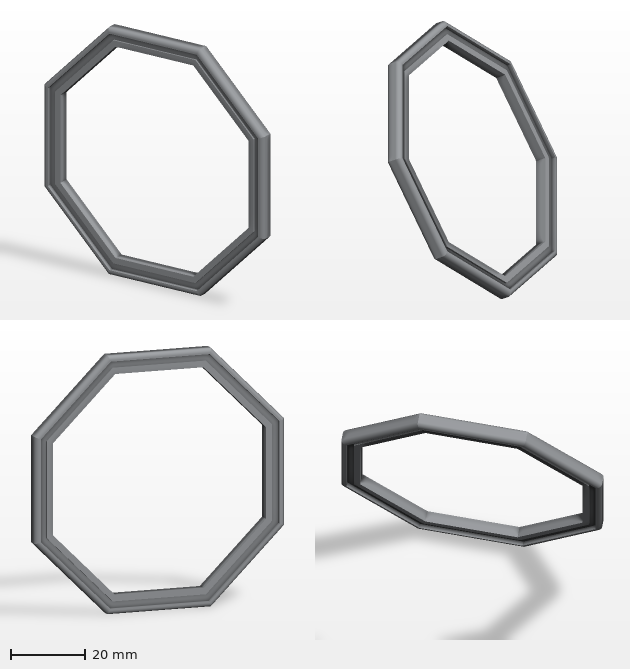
import cadquery as cq
import math

width = 71.6
thickness = 4.4
ring_wall = 5.2
edge_radius = 1.2
groove_offset = 1.6
groove_width = 1.9
groove_depth = 1.2
land_depth = 0.65
sides = 8


def octagon_prism(across_flats, y_start, length):
    """Octagonal prism with flats facing X and Z, running toward +Y from y_start."""
    corner_diameter = across_flats / math.cos(math.pi / sides)
    return (
        cq.Workplane("XZ", origin=(0, y_start, 0))
        .transformed(rotate=(0, 0, 180 / sides))
        .polygon(sides, corner_diameter)
        .extrude(-length)
    )


def octagon_ring(outer_offset, radial_width, y_start, length):
    """Octagonal ring whose outside is set in from the part's outer flats."""
    outer_width = width - 2 * outer_offset
    outer = octagon_prism(outer_width, y_start, length)
    inner = octagon_prism(outer_width - 2 * radial_width, y_start, length)
    return outer.cut(inner)


front_y = -thickness / 2

blank = octagon_prism(width, front_y, thickness).faces("<Y or >Y").edges().fillet(edge_radius)
opening = octagon_prism(width - 2 * ring_wall, front_y, thickness)

result = blank.cut(opening)

land_width = ring_wall - groove_offset - groove_width
land_offset = groove_offset + groove_width
for groove_y, land_y in (
    (front_y, front_y),
    (-front_y - groove_depth, -front_y - land_depth),
):
    groove = octagon_ring(groove_offset, groove_width, groove_y, groove_depth)
    land_recess = octagon_ring(land_offset, land_width, land_y, land_depth)
    result = result.cut(groove).cut(land_recess)